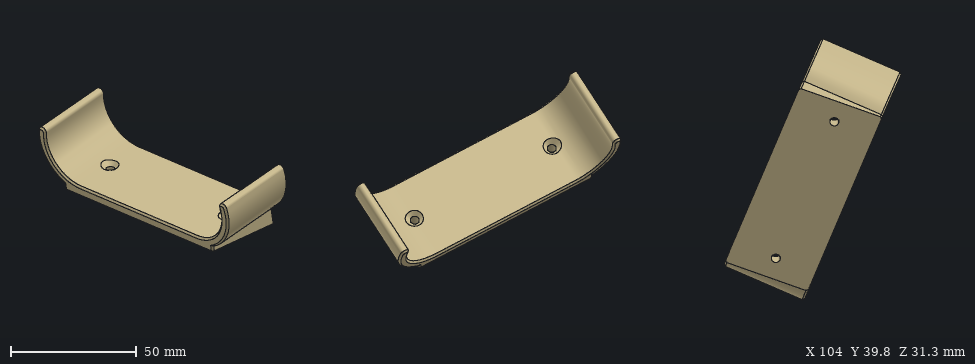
import cadquery as cq
import math

overall_width = 104.0
wall = 4.0
outer_radius = 20.0
cradle_length = 34.9
cradle_height = 25.6
cradle_lift = 0.2
end_chamfer = 0.8
tilt_angle = 10.0
foot_width = 81.5

hole_diameter = 3.5
countersink_diameter = 6.9
countersink_depth = 1.5
hole_y = 17.1

half_width = overall_width / 2
inner_radius = outer_radius - wall
arc_center_x = half_width - outer_radius
arc_center_z = cradle_lift + outer_radius
floor_z = cradle_lift + wall
middle_radius = outer_radius - wall / 2
tip_rise = cradle_height - outer_radius - wall / 2
tip_angle = math.asin(tip_rise / middle_radius)
tilt = math.radians(tilt_angle)


def side_point(side, radius, angle):
    """Point on a side arc, at an angle above the horizontal; side is +1 or -1."""
    x = arc_center_x + radius * math.cos(angle)
    return (side * x, arc_center_z + radius * math.sin(angle))


def cradle_profile():
    """Closed U-shaped outline with curled-up sides and fully rounded tips."""
    middle_angle = (tip_angle - math.pi / 2) / 2
    crown_x, crown_z = side_point(1, middle_radius, tip_angle)
    crown_x -= wall / 2 * math.sin(tip_angle)
    crown_z += wall / 2 * math.cos(tip_angle)
    return (
        cq.Workplane("XZ")
        .moveTo(-arc_center_x, cradle_lift)
        .lineTo(arc_center_x, cradle_lift)
        .threePointArc(side_point(1, outer_radius, middle_angle), side_point(1, outer_radius, tip_angle))
        .threePointArc((crown_x, crown_z), side_point(1, inner_radius, tip_angle))
        .threePointArc(side_point(1, inner_radius, middle_angle), (arc_center_x, floor_z))
        .lineTo(-arc_center_x, floor_z)
        .threePointArc(side_point(-1, inner_radius, middle_angle), side_point(-1, inner_radius, tip_angle))
        .threePointArc((-crown_x, crown_z), side_point(-1, outer_radius, tip_angle))
        .threePointArc(side_point(-1, outer_radius, middle_angle), (-arc_center_x, cradle_lift))
        .close()
    )


def tilted_body():
    """Cradle and foot with chamfered ends, tilted and cut flat at the base."""
    foot_depth = cradle_length * math.tan(tilt) + end_chamfer * 2
    foot_top = floor_z - wall / 4
    cradle = cradle_profile().extrude(-cradle_length)
    foot = (
        cq.Workplane("XY")
        .box(foot_width, cradle_length, foot_depth + foot_top, centered=(True, False, False))
        .translate((0, 0, -foot_depth))
    )
    body = cradle.union(foot)
    body = body.faces("<Y or >Y").chamfer(end_chamfer)
    body = body.rotate((0, 0, 0), (1, 0, 0), tilt_angle)
    trim_size = 2 * overall_width
    below_base = cq.Workplane("XY").box(trim_size, trim_size, trim_size, centered=(True, True, False))
    return body.cut(below_base.translate((0, 0, -trim_size)))


def screw_hole(x):
    """Vertical through hole with a conical countersink square to the sloping floor."""
    floor_at_hole = floor_z / math.cos(tilt) + hole_y * math.tan(tilt)
    hole = cq.Workplane("XY").center(x, hole_y).circle(hole_diameter / 2).extrude(floor_at_hole)
    sink_radius = countersink_diameter / 2
    apex_depth = countersink_depth * sink_radius / (sink_radius - hole_diameter / 2)
    cone_height = apex_depth + wall / 4
    cone_radius = sink_radius * cone_height / apex_depth
    cone = (
        cq.Workplane("XZ")
        .moveTo(0, -apex_depth)
        .lineTo(cone_radius, cone_height - apex_depth)
        .lineTo(0, cone_height - apex_depth)
        .close()
        .revolve(360, (0, 0, 0), (0, 1, 0))
        .rotate((0, 0, 0), (1, 0, 0), tilt_angle)
        .translate((x, hole_y, floor_at_hole))
    )
    return hole.union(cone)


result = tilted_body().cut(screw_hole(-arc_center_x)).cut(screw_hole(arc_center_x))